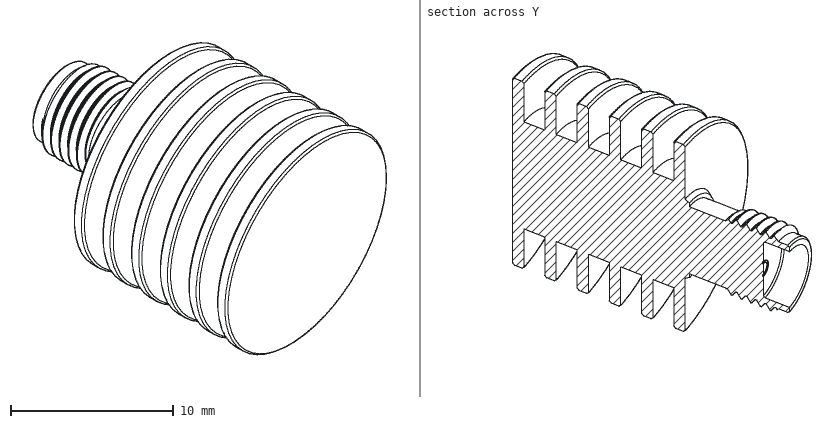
import cadquery as cq

total_length = 19.81

fin_count = 6
fin_diameter = 15.5
fin_thickness = 0.83
fin_chamfer = 0.14
core_diameter = 8.9
sink_start = 7.45
fin_pitch = (total_length - sink_start - fin_thickness) / (fin_count - 1)

neck_diameter = 5.59
neck_chamfer = 0.12
collar_start = 7.15
collar_small_diameter = 6.18
collar_large_diameter = 6.58

thread_start = 0.77
thread_end = 4.58
thread_diameter = 6.38
thread_pitch = 0.7
thread_crest_width = 0.08
thread_base_width = 0.61
thread_crest_at_bottom = 1.37
first_groove_at_bottom = thread_crest_at_bottom - 2.5 * thread_pitch
groove_turns = 8
groove_overshoot = 0.02
band_embed = 0.12
seam_angle = 37.0

bore_diameter = 4.58
bore_floor_diameter = 4.34
bore_depth = 1.86
bore_taper = (bore_diameter - bore_floor_diameter) / 2
contact_diameter = 0.93
contact_gap_diameter = 1.19
contact_gap_depth = 0.04


def cylinder(start, length, diameter):
    """Cylinder along +X beginning at X = start."""
    return cq.Workplane("YZ").workplane(offset=start).circle(diameter / 2).extrude(length)


def turned(points):
    """Solid of revolution about X from (x, radius) points."""
    return cq.Workplane("XY").polyline(points).close().revolve(360, (0, 0, 0), (1, 0, 0))


def make_heat_sink():
    sink = cylinder(sink_start, total_length - sink_start, core_diameter)
    for index in range(fin_count):
        fin = cylinder(sink_start + index * fin_pitch, fin_thickness, fin_diameter)
        sink = sink.union(fin.edges().chamfer(fin_chamfer))
    return sink


def make_neck():
    neck = cylinder(0, sink_start, neck_diameter).faces("<X").chamfer(neck_chamfer)
    collar = turned([
        (collar_start, 0),
        (collar_start, collar_small_diameter / 2),
        (sink_start, collar_large_diameter / 2),
        (sink_start, 0),
    ])
    return neck.union(collar)


def make_thread():
    root_radius = neck_diameter / 2
    crest_radius = thread_diameter / 2
    thread_depth = crest_radius - root_radius

    inner_radius = root_radius - band_embed
    band = turned([
        (thread_start - band_embed, 0),
        (thread_start - band_embed, inner_radius),
        (thread_start + thread_depth, crest_radius),
        (thread_end - thread_depth, crest_radius),
        (thread_end + band_embed, inner_radius),
        (thread_end + band_embed, 0),
    ]).rotate((0, 0, 0), (1, 0, 0), seam_angle)

    flank_slope = 2 * thread_depth / (thread_base_width - thread_crest_width)
    tip_radius = root_radius - flank_slope * (thread_pitch - thread_base_width) / 2
    outer_radius = crest_radius + groove_overshoot
    half_width = (outer_radius - tip_radius) / flank_slope
    helix = cq.Wire.makeHelix(thread_pitch, groove_turns * thread_pitch, root_radius)
    groove = (
        cq.Workplane("XZ")
        .polyline([(tip_radius, 0), (outer_radius, -half_width), (outer_radius, half_width)])
        .close()
        .sweep(cq.Workplane(obj=helix), isFrenet=True)
        .rotate((0, 0, 0), (0, 1, 0), 90)
        .translate((first_groove_at_bottom, 0, 0))
    )
    return band.cut(groove)


def make_bore():
    bore = turned([
        (0, 0),
        (0, bore_diameter / 2),
        (bore_depth - bore_taper, bore_diameter / 2),
        (bore_depth, bore_floor_diameter / 2),
        (bore_depth, 0),
    ])
    gap = cylinder(bore_depth, contact_gap_depth, contact_gap_diameter)
    contact = cylinder(bore_depth, contact_gap_depth, contact_diameter)
    return bore.union(gap.cut(contact))


result = make_heat_sink().union(make_neck()).union(make_thread()).cut(make_bore())